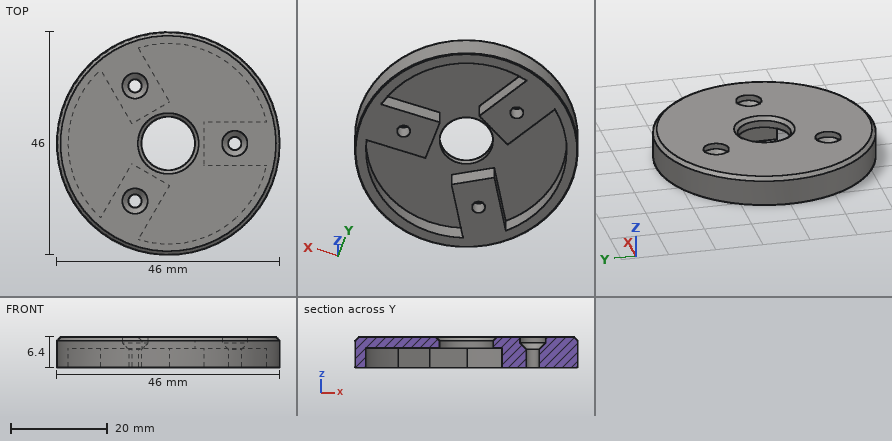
import cadquery as cq

outer_diameter = 46.0
height = 6.4
top_chamfer = 0.8
bottom_chamfer = 0.2

bore_diameter = 11.0

wall = 2.3
cavity_diameter = outer_diameter - 2 * wall
cavity_depth = height - wall

screw_count = 3
screw_circle_radius = 13.7
screw_diameter = 2.65
head_diameter = 5.25
head_recess_depth = 1.25
cone_depth = (head_diameter - screw_diameter) / 2
boss_inner_distance = 7.35
boss_width = 8.95


def around_axis(shape):
    """Union of copies of a shape spaced evenly around the Z axis."""
    pattern = shape
    for index in range(1, screw_count):
        angle = index * 360.0 / screw_count
        pattern = pattern.union(shape.rotate((0, 0, 0), (0, 0, 1), angle))
    return pattern


def make_disc():
    disc = cq.Workplane("XY").circle(outer_diameter / 2).extrude(height)
    disc = disc.faces(">Z").edges().chamfer(top_chamfer)
    return disc.faces("<Z").edges().chamfer(bottom_chamfer)


def make_cavity():
    """Round underside pocket, less the three screw bosses."""
    cavity = cq.Workplane("XY").circle(cavity_diameter / 2).extrude(cavity_depth)
    boss_length = outer_diameter / 2 - boss_inner_distance
    boss = (
        cq.Workplane("XY")
        .center(boss_inner_distance + boss_length / 2, 0)
        .rect(boss_length, boss_width)
        .extrude(cavity_depth)
    )
    return cavity.cut(around_axis(boss))


def make_bore():
    """Through bore that flares at the top face."""
    bore_radius = bore_diameter / 2
    profile = [
        (0, 0),
        (bore_radius, 0),
        (bore_radius, height - top_chamfer),
        (bore_radius + top_chamfer, height),
        (0, height),
    ]
    return cq.Workplane("XZ").polyline(profile).close().revolve()


def make_screw_hole():
    """Through hole with a sunk conical seat for the screw head."""
    screw_radius = screw_diameter / 2
    head_radius = head_diameter / 2
    cone_top = height - head_recess_depth
    profile = [
        (0, 0),
        (screw_radius, 0),
        (screw_radius, cone_top - cone_depth),
        (head_radius, cone_top),
        (head_radius, height),
        (0, height),
    ]
    hole = cq.Workplane("XZ").polyline(profile).close().revolve()
    return hole.translate((screw_circle_radius, 0, 0))


result = (
    make_disc()
    .cut(make_cavity())
    .cut(make_bore())
    .cut(around_axis(make_screw_hole()))
)